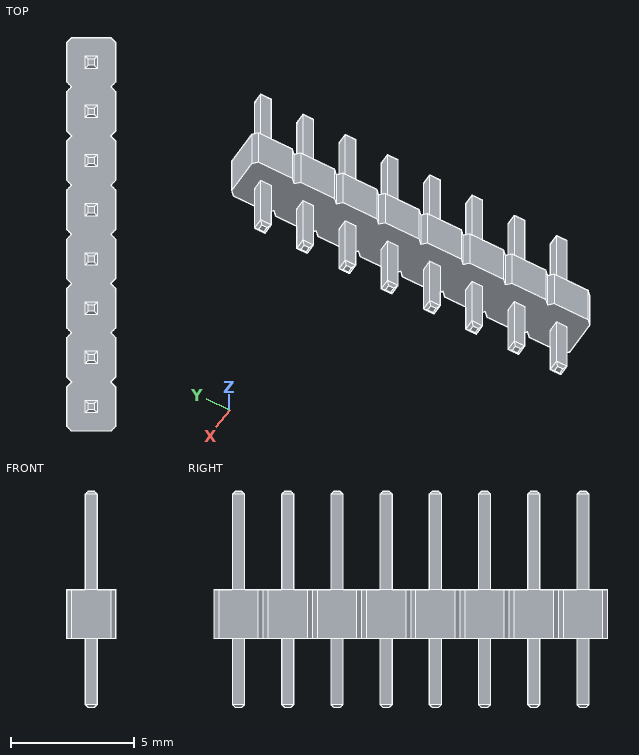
import cadquery as cq

pin_count = 8
pitch = 2.0
body_width = 2.0
body_height = 2.0
corner_chamfer = 0.2

pin_size = 0.5
pin_above_body = 4.0
pin_below_body = 2.8
tip_chamfer = 0.125

pin_length = pin_below_body + body_height + pin_above_body
row_length = pin_count * pitch
pin_positions = [(i + 0.5) * pitch - row_length / 2 for i in range(pin_count)]


def housing_segment(y):
    """One pitch of the housing, with its four vertical edges chamfered."""
    return (
        cq.Workplane("XY")
        .box(body_width, pitch, body_height, centered=(True, True, False))
        .edges("|Z")
        .chamfer(corner_chamfer)
        .translate((0, y, 0))
    )


def pin(y):
    """Square pin through the housing, with all edges of both tips chamfered."""
    return (
        cq.Workplane("XY")
        .box(pin_size, pin_size, pin_length, centered=(True, True, False))
        .faces("<Z or >Z")
        .edges()
        .chamfer(tip_chamfer)
        .translate((0, y, -pin_below_body))
    )


result = cq.Workplane("XY")
for pin_y in pin_positions:
    result = result.union(housing_segment(pin_y))
for pin_y in pin_positions:
    result = result.union(pin(pin_y))
result = result.clean()